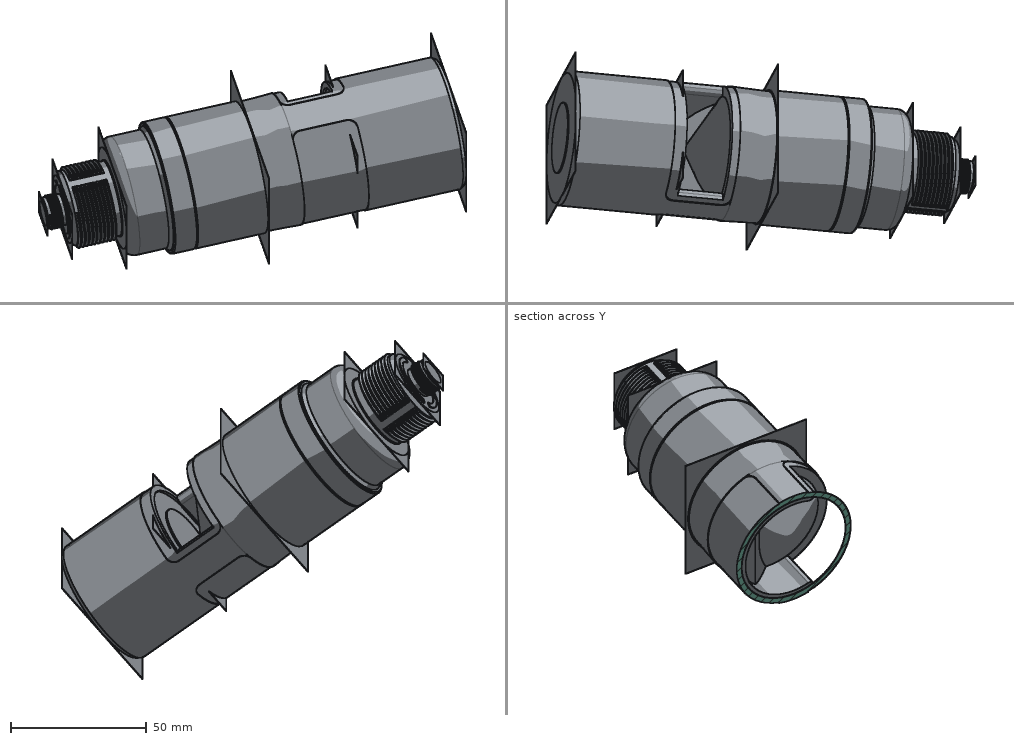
import cadquery as cq
import math


LENGTH = 156.2
SLEEVE_R = 25.0
BODY_R = 24.7
CAP_R, CAP_HEIGHT = 13.1, 0.5
REAR_FACE_R = 24.0
REAR_ROUND_LENGTH = 1.5
COLLAR_START = 76.7
TAPER_END_R = 24.5
SEAM_AT, SEAM_WIDTH, SEAM_DEPTH = 103.8, 0.6, 0.2
SHOULDER_AT, SHOULDER_R, SHOULDER_ROUND = 112.7, 23.6, 0.5
NECK_START, NECK_R, NECK_END, NECK_ROUND = 114.1, 22.5, 129.5, 4.0

RIDGE_SINK, RIDGE_BASE, RIDGE_CREST = 0.1, 0.94, 0.12

MOUNT_CREST_R, MOUNT_ROOT_R, MOUNT_PITCH = 15.3, 14.2, 1.5
MOUNT_THREAD_START, MOUNT_THREAD_END = 131.3, 146.8
MOUNT_END, MOUNT_FACE_R = 148.7, 12.8
MOUNT_COLLAR_R, MOUNT_COLLAR_END = 14.5, 129.9
MOUNT_FLAT_Z = 14.5
KEYWAY_WIDTH, KEYWAY_FLOOR_Z = 3.3, 14.0

ARC_INNER_R, ARC_OUTER_R, ARC_HEIGHT = 9.2, 11.1, 0.5
ARC_STARTS, ARC_SPAN = (-50, 133), 157

PLUG_CREST_R, PLUG_ROOT_R, PLUG_PITCH = 6.4, 6.0, 1.0
PLUG_THREAD_START, PLUG_THREAD_END = 149.6, 154.9
PLUG_TIP_R, PLUG_TIP_CHAMFER = 4.4, 0.8

WINDOW_START, WINDOW_END = 38.1, 62.8
WINDOW_EDGE_X, WINDOW_CORNER_R = 6.2, 3.5

SLOT_START, SLOT_END, POST_FACE_X = 42.6, 59.8, -8.7
CAVITY_R, POST_ROUND = 20.8, 1.9
CONE_R, CONE_HEIGHT = 21.0, 13.1
BACK_WALL_START = 48.3
BACK_WALL_X_START, BACK_WALL_X_END = 13.1, 1.5
TRANSDUCER_RIM_R, TRANSDUCER_RIM_DEPTH = 22.3, 1.1
TRANSDUCER_R, TRANSDUCER_HEIGHT = 14.4, 0.8

PLATE_THICKNESS = 0.2
PLATE_SETBACK = 0.08
TRANSDUCER_PLATE_SIDE = 43.7
COLLAR_PLATE_SIDE, NECK_PLATE_SIDE, MOUNT_PLATE_SIDE = 52.0, 38.1, 26.9
PLATES = (
    (CAP_HEIGHT, REAR_FACE_R),
    (SLOT_START - TRANSDUCER_RIM_DEPTH, TRANSDUCER_PLATE_SIDE / 2),
    (COLLAR_START, COLLAR_PLATE_SIDE / 2),
    (NECK_END - PLATE_SETBACK, NECK_PLATE_SIDE / 2),
    (MOUNT_END - PLATE_SETBACK, MOUNT_PLATE_SIDE / 2),
    (LENGTH - PLATE_THICKNESS, PLUG_ROOT_R),
)


def cross_section(station):
    """Workplane across the axis at a station, its normal pointing towards the connector."""
    return cq.Workplane("XZ", origin=(0, -station, 0))


def disc(start, end, radius):
    """Cylinder about the axis between two stations."""
    return cross_section(start).circle(radius).extrude(end - start)


def box(x_range, station_range, z_half):
    """Block symmetric about Z = 0, given its range of X and its range of stations."""
    x_start, x_end = x_range
    start, end = station_range
    face = cross_section(start).center((x_start + x_end) / 2, 0).rect(x_end - x_start, 2 * z_half)
    return face.extrude(end - start)


def barrel():
    """Everything turned about the axis, without the threads."""
    seam_start = SEAM_AT - SEAM_WIDTH / 2
    seam_end = SEAM_AT + SEAM_WIDTH / 2
    round_mid = NECK_ROUND * (1 - math.sqrt(0.5))
    outline = (
        cq.Workplane("XY")
        .moveTo(0, 0)
        .lineTo(CAP_R, 0)
        .lineTo(CAP_R, -CAP_HEIGHT)
        .lineTo(REAR_FACE_R, -CAP_HEIGHT)
        .lineTo(SLEEVE_R, -CAP_HEIGHT - REAR_ROUND_LENGTH)
        .lineTo(SLEEVE_R, -WINDOW_END)
        .lineTo(TAPER_END_R, -COLLAR_START)
        .lineTo(SLEEVE_R, -COLLAR_START)
        .lineTo(SLEEVE_R, -seam_start)
        .lineTo(SLEEVE_R - SEAM_DEPTH, -SEAM_AT)
        .lineTo(SLEEVE_R, -seam_end)
        .lineTo(SLEEVE_R, -SHOULDER_AT + SHOULDER_ROUND)
        .lineTo(SLEEVE_R - SHOULDER_ROUND, -SHOULDER_AT)
        .lineTo(SHOULDER_R, -SHOULDER_AT)
        .lineTo(NECK_R, -NECK_START)
        .lineTo(NECK_R, -NECK_END + NECK_ROUND)
        .threePointArc((NECK_R - round_mid, -NECK_END + round_mid), (NECK_R - NECK_ROUND, -NECK_END))
        .lineTo(MOUNT_COLLAR_R, -NECK_END)
        .lineTo(MOUNT_COLLAR_R, -MOUNT_COLLAR_END)
        .lineTo(MOUNT_ROOT_R, -MOUNT_COLLAR_END)
        .lineTo(MOUNT_ROOT_R, -MOUNT_THREAD_END)
        .lineTo(MOUNT_FACE_R, -MOUNT_END)
        .lineTo(PLUG_ROOT_R, -MOUNT_END)
        .lineTo(PLUG_ROOT_R, -LENGTH + PLUG_TIP_CHAMFER)
        .lineTo(PLUG_TIP_R, -LENGTH)
        .lineTo(0, -LENGTH)
        .close()
    )
    return outline.revolve(360, (0, 0, 0), (0, 1, 0))


def thread_ridge(root_r, crest_r, pitch, start, end):
    """Helical V ridge whose base is sunk slightly below the root radius."""
    base_r = root_r - RIDGE_SINK * pitch
    half_base = RIDGE_BASE * pitch / 2
    half_crest = RIDGE_CREST * pitch / 2
    origin = cq.Vector(0, -start - half_base, 0)
    helix = cq.Wire.makeHelix(pitch, end - start - 2 * half_base, root_r, origin, cq.Vector(0, -1, 0))
    radial = (helix.startPoint() - origin).normalized()
    along = radial.cross(cq.Vector(0, 1, 0))
    profile = (
        cq.Workplane(cq.Plane(origin, radial, along))
        .polyline(
            [(base_r, -half_base), (crest_r, -half_crest), (crest_r, half_crest), (base_r, half_base)]
        )
        .close()
    )
    return profile.sweep(cq.Workplane(obj=helix), isFrenet=True)


def mount_thread():
    ridge = thread_ridge(MOUNT_ROOT_R, MOUNT_CREST_R, MOUNT_PITCH, MOUNT_THREAD_START, MOUNT_THREAD_END)
    between_flats = box((-BODY_R, BODY_R), (NECK_END, MOUNT_END), MOUNT_FLAT_Z)
    keyway = box((-KEYWAY_WIDTH / 2, KEYWAY_WIDTH / 2), (MOUNT_COLLAR_END, MOUNT_THREAD_END), MOUNT_CREST_R)
    keyway = keyway.cut(box((-KEYWAY_WIDTH, KEYWAY_WIDTH), (NECK_END, MOUNT_END), KEYWAY_FLOOR_Z))
    return ridge.intersect(between_flats).cut(keyway)


def plug_thread():
    return thread_ridge(PLUG_ROOT_R, PLUG_CREST_R, PLUG_PITCH, PLUG_THREAD_START, PLUG_THREAD_END)


def sleeve_window(side):
    """Sleeve material outside the inner body, on the side of X given by the sign."""
    middle = -(WINDOW_START + WINDOW_END) / 2
    reach = 2 * SLEEVE_R
    opening = (
        cq.Workplane("XY", origin=(0, 0, -reach))
        .center(side * (WINDOW_EDGE_X + reach / 2), middle)
        .rect(reach, WINDOW_END - WINDOW_START)
        .extrude(2 * reach)
        .edges("|Z")
        .fillet(WINDOW_CORNER_R)
    )
    return opening.cut(disc(0, COLLAR_START, BODY_R))


def slot():
    """Sensing slot and the recess around the transducer, leaving the cone and the sloping back wall."""
    opening = box((-2 * SLEEVE_R, POST_FACE_X), (SLOT_START, SLOT_END), 2 * SLEEVE_R)
    back_wall = (
        cq.Workplane("XY", origin=(0, 0, -SLEEVE_R))
        .polyline(
            [
                (BACK_WALL_X_START, -BACK_WALL_START),
                (BACK_WALL_X_END, -SLOT_END),
                (SLEEVE_R, -SLOT_END),
                (SLEEVE_R, -BACK_WALL_START),
            ]
        )
        .close()
        .extrude(2 * SLEEVE_R)
    )
    cone = cq.Workplane(
        cq.Solid.makeCone(CONE_R, 0, CONE_HEIGHT, cq.Vector(0, -SLOT_END, 0), cq.Vector(0, 1, 0))
    )
    post_edge_z = math.sqrt(CAVITY_R**2 - POST_FACE_X**2)
    near_post_edges = cq.selectors.BoxSelector(
        (POST_FACE_X - POST_ROUND, -SLOT_END, -post_edge_z - POST_ROUND),
        (POST_FACE_X + POST_ROUND, -SLOT_START, post_edge_z + POST_ROUND),
    )
    return (
        disc(SLOT_START, SLOT_END, CAVITY_R)
        .union(opening)
        .edges("|Y")
        .edges(near_post_edges)
        .fillet(POST_ROUND)
        .cut(back_wall)
        .cut(cone)
        .union(disc(SLOT_START - TRANSDUCER_RIM_DEPTH, SLOT_START, TRANSDUCER_RIM_R))
    )


def raised_arc(start_angle):
    """Raised strip bent about the axis, starting at an angle in degrees."""
    sector = (
        cq.Workplane("XY")
        .moveTo(ARC_INNER_R, -MOUNT_END)
        .lineTo(ARC_OUTER_R, -MOUNT_END)
        .lineTo(ARC_OUTER_R, -MOUNT_END - ARC_HEIGHT)
        .lineTo(ARC_INNER_R, -MOUNT_END - ARC_HEIGHT)
        .close()
        .revolve(ARC_SPAN, (0, 0, 0), (0, -1, 0))
    )
    return sector.rotate((0, 0, 0), (0, -1, 0), start_angle)


def square_plate(station, half_width):
    return cross_section(station).rect(2 * half_width, 2 * half_width).extrude(PLATE_THICKNESS)


result = barrel()
for side in (-1, 1):
    result = result.cut(sleeve_window(side))
result = result.cut(slot())
for station, half_width in PLATES:
    result = result.union(square_plate(station, half_width))
rim_floor = SLOT_START - TRANSDUCER_RIM_DEPTH
result = result.union(disc(rim_floor, rim_floor + TRANSDUCER_HEIGHT, TRANSDUCER_R))
for start_angle in ARC_STARTS:
    result = result.union(raised_arc(start_angle))
result = result.union(mount_thread()).union(plug_thread())